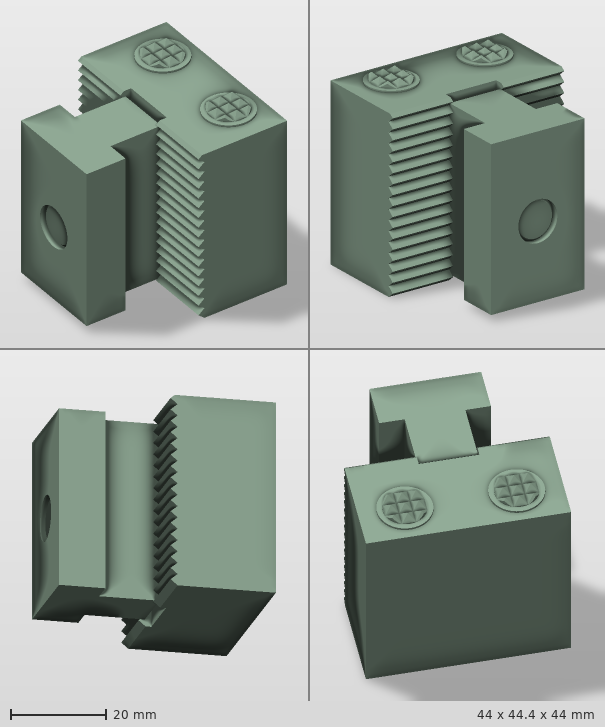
import cadquery as cq


JAW_WIDTH = 44.0
JAW_HEIGHT = 42.0
TOOTH_TIP_DEPTH = 22.75
TOOTH_HEIGHT = 1.5
TEETH_IN_HEIGHT = 16.8
TOOTH_COUNT = 17
KEYWAY_FLOOR_DEPTH = 20.0

NUT_LENGTH = 39.0
NUT_FRONT_DEPTH = 44.4
NUT_BACK_DEPTH = 21.4
STEM_WIDTH = 13.0
FOOT_WIDTH = 23.98
FOOT_THICKNESS = 10.0

SCREW_DIAMETER = 10.0
SCREW_CHAMFER = 0.65
SCREW_RECESS = 1.0
SCREW_Z = 20.0

PAD_SPACING = 23.98
PAD_DEPTH = 8.0
PAD_DIAMETER = 12.0
PAD_FLANGE_THICKNESS = 0.5
PAD_HEIGHT = 2.0
GRIP_DIAMETER = 9.6
POINT_PITCH = 2.97
POINT_ROWS = 3

TOOTH_PITCH = JAW_HEIGHT / TEETH_IN_HEIGHT
TOOTH_ROOT_DEPTH = TOOTH_TIP_DEPTH - TOOTH_HEIGHT
NUT_BOTTOM_Z = (JAW_HEIGHT - NUT_LENGTH) / 2
FOOT_BACK_DEPTH = NUT_FRONT_DEPTH - FOOT_THICKNESS
SCREW_LENGTH = NUT_FRONT_DEPTH - SCREW_RECESS
POINT_HEIGHT = PAD_HEIGHT - PAD_FLANGE_THICKNESS


def block(width, back_depth, front_depth, bottom_z, height):
    """A box centred on X = 0 between two depths."""
    return (
        cq.Workplane("XY", origin=(0, -(back_depth + front_depth) / 2, bottom_z))
        .box(width, front_depth - back_depth, height, centered=(True, True, False))
    )


def screw_cylinder(length):
    """The cylinder shared by the screw and its hole, starting on the back face of the jaw."""
    return (
        cq.Workplane("XZ", origin=(0, 0, SCREW_Z))
        .circle(SCREW_DIAMETER / 2)
        .extrude(length)
    )


def make_jaw():
    """Block with a serrated front, a vertical keyway and the screw hole."""
    outline = [(0, 0)]
    for tooth in range(TOOTH_COUNT):
        root_z = tooth * TOOTH_PITCH
        outline.append((-TOOTH_ROOT_DEPTH, root_z))
        outline.append((-TOOTH_TIP_DEPTH, root_z + TOOTH_PITCH / 2))
    top_root_z = TOOTH_COUNT * TOOTH_PITCH
    outline.append((-TOOTH_ROOT_DEPTH, top_root_z))
    outline.append((0, top_root_z))
    serrated = cq.Workplane("YZ").polyline(outline).close().extrude(JAW_WIDTH / 2, both=True)

    envelope = block(JAW_WIDTH, 0, TOOTH_TIP_DEPTH, 0, JAW_HEIGHT)
    keyway = block(STEM_WIDTH, KEYWAY_FLOOR_DEPTH, TOOTH_TIP_DEPTH, 0, JAW_HEIGHT)
    return serrated.intersect(envelope).cut(keyway).cut(screw_cylinder(KEYWAY_FLOOR_DEPTH))


def make_t_nut():
    """Stem and wider foot with the screw hole right through."""
    stem = block(STEM_WIDTH, NUT_BACK_DEPTH, FOOT_BACK_DEPTH, NUT_BOTTOM_Z, NUT_LENGTH)
    foot = block(FOOT_WIDTH, FOOT_BACK_DEPTH, NUT_FRONT_DEPTH, NUT_BOTTOM_Z, NUT_LENGTH)
    return stem.union(foot).cut(screw_cylinder(NUT_FRONT_DEPTH))


def make_screw():
    """Rod from the back of the jaw, chamfered at its front end."""
    return screw_cylinder(SCREW_LENGTH).faces("<Y").chamfer(SCREW_CHAMFER)


def make_gripper_pad(x):
    """Round flange with a grip of pyramid points, parted by crossed V-grooves."""
    pad = (
        cq.Workplane("XY", origin=(x, -PAD_DEPTH, JAW_HEIGHT))
        .circle(PAD_DIAMETER / 2)
        .extrude(PAD_FLANGE_THICKNESS)
        .faces(">Z")
        .workplane()
        .circle(GRIP_DIAMETER / 2)
        .extrude(POINT_HEIGHT)
    )
    center = (x, -PAD_DEPTH, JAW_HEIGHT + PAD_FLANGE_THICKNESS)
    for plane in ("XZ", "YZ"):
        for groove in range(POINT_ROWS + 1):
            offset = (groove - POINT_ROWS / 2) * POINT_PITCH
            v_groove = (
                cq.Workplane(plane, origin=center)
                .moveTo(offset, 0)
                .lineTo(offset + POINT_PITCH / 2, POINT_HEIGHT)
                .lineTo(offset - POINT_PITCH / 2, POINT_HEIGHT)
                .close()
                .extrude(PAD_DIAMETER / 2, both=True)
            )
            pad = pad.cut(v_groove)
    return pad


jaw = make_jaw()
t_nut = make_t_nut()
screw = make_screw()
gripper_pads = [make_gripper_pad(side * PAD_SPACING / 2) for side in (-1, 1)]

result = cq.Compound.makeCompound(
    [jaw.val(), t_nut.val(), screw.val(), *[pad.val() for pad in gripper_pads]]
)